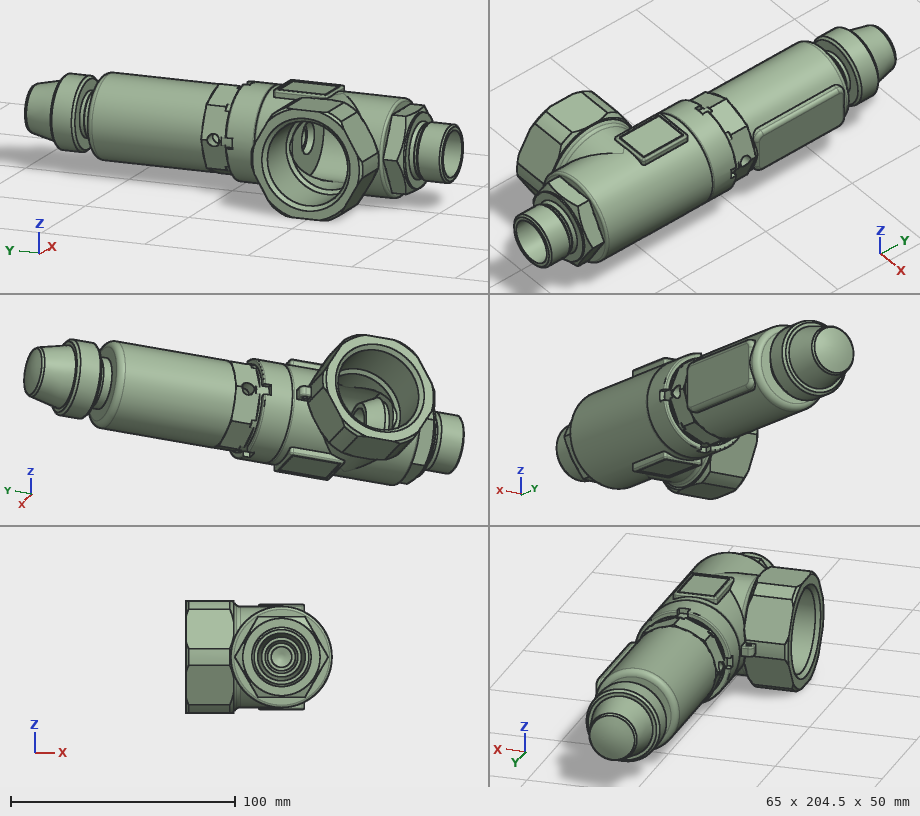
import cadquery as cq
import math


inlet_end_y = -52.9
overall_length = 204.5
cap_top_y = inlet_end_y + overall_length
housing_bottom_y = -28.1
collar_bottom_y = 33.6
collar_top_y = 47.4
bonnet_top_y = 116.2
cap_bottom_y = 122.9
disc_bottom_y = 17.0
disc_top_y = 28.0

body_radius = 22.5
chamber_radius = 18.0
joint_fillet = 0.6
foot_radius = 20.0
stem_radius = 8.0
shank_radius = 6.0
shank_top_y = 130.0


def revolve_about_y(outline):
    """Turn a closed (radius, y) outline one full revolution around the Y axis."""
    return cq.Workplane("XY").polyline(outline).close().revolve(360, (0, 0, 0), (0, 1, 0))


def cylinder_y(radius, y_from, y_to):
    """Solid cylinder on the Y axis."""
    return cq.Workplane("XZ", origin=(0, y_from, 0)).circle(radius).extrude(y_from - y_to)


def polygon_y(corner_radius, sides, y_from, y_to):
    """Regular prism on the Y axis, with its first corner on +X."""
    corners = []
    for i in range(sides):
        angle = 2 * math.pi * i / sides
        corners.append((corner_radius * math.cos(angle), corner_radius * math.sin(angle)))
    return cq.Workplane("XZ", origin=(0, y_from, 0)).polyline(corners).close().extrude(y_from - y_to)


def revolve_about_x(outline):
    """Turn a closed (x, radius) outline one full revolution around the X axis."""
    return cq.Workplane("XY").polyline(outline).close().revolve(360, (0, 0, 0), (1, 0, 0))


outlet_face_x = -42.5
outlet_across_flats = 50.0
outlet_corner_radius = 27.0
outlet_face_chamfer = 1.2
outlet_hex_bevel_x = -23.0
outlet_hex_back_x = -21.3
outlet_neck_x = -18.4
outlet_neck_round = 2.5
outlet_thread_radius = 19.4
outlet_mouth_radius = 21.3
outlet_throat_radius = 17.7
outlet_thread_end_x = -19.2

plaque_length = 26.4
plaque_width = 20.4
plaque_center_y = 16.5
plaque_face_z = 23.4
plaque_corner_radius = 1.2
plaque_edge_fillet = 0.9
plaque_rim = 1.8
plaque_recess = 0.4

eyelet_tip_x = -27.8
eyelet_top_y = 31.8
eyelet_thickness = 4.7
eyelet_hole_x = -25.0
eyelet_hole_y = 28.9
eyelet_hole_diameter = 2.2
eyelet_corner_radius = 2.2
eyelet_edge_fillet = 0.6


def outlet_branch():
    bevel_radius = outlet_corner_radius - (outlet_hex_back_x - outlet_hex_bevel_x)
    round_offset = outlet_neck_round * math.sqrt(0.5)
    round_start_x = outlet_neck_x - round_offset
    round_start_radius = body_radius + outlet_neck_round - round_offset
    shoulder_radius = round_start_radius + (round_start_x - outlet_hex_back_x)
    round_mid_x = outlet_neck_x - outlet_neck_round * math.sin(math.pi / 8)
    round_mid_radius = body_radius + outlet_neck_round * (1 - math.cos(math.pi / 8))
    turned = (
        cq.Workplane("XY")
        .moveTo(outlet_face_x, 0)
        .lineTo(outlet_face_x, outlet_corner_radius - outlet_face_chamfer)
        .lineTo(outlet_face_x + outlet_face_chamfer, outlet_corner_radius)
        .lineTo(outlet_hex_bevel_x, outlet_corner_radius)
        .lineTo(outlet_hex_back_x, bevel_radius)
        .lineTo(outlet_hex_back_x, shoulder_radius)
        .lineTo(round_start_x, round_start_radius)
        .threePointArc((round_mid_x, round_mid_radius), (outlet_neck_x, body_radius))
        .lineTo(0, body_radius)
        .lineTo(0, 0)
        .close()
        .revolve(360, (0, 0, 0), (1, 0, 0))
    )
    hexagon = (
        cq.Workplane("YZ", origin=(outlet_face_x, 0, 0))
        .polygon(6, outlet_across_flats / math.cos(math.pi / 6))
        .extrude(-outlet_face_x)
    )
    return turned.intersect(hexagon)


def name_plaque(side):
    """Raised plaque with a recessed field; side is +1 for the +Z face, -1 for -Z."""
    plaque = (
        cq.Workplane("XY", origin=(0, plaque_center_y, chamber_radius))
        .rect(plaque_width, plaque_length)
        .extrude(plaque_face_z - chamber_radius)
        .edges("|Z").fillet(plaque_corner_radius)
        .faces(">Z").edges().fillet(plaque_edge_fillet)
    )
    field = (
        cq.Workplane("XY", origin=(0, plaque_center_y, plaque_face_z - plaque_recess))
        .rect(plaque_width - 2 * plaque_rim, plaque_length - 2 * plaque_rim)
        .extrude(plaque_recess)
    )
    plaque = plaque.cut(field)
    return plaque if side > 0 else plaque.mirror("XY")


def seal_eyelet():
    lug_length_x = -chamber_radius - eyelet_tip_x
    lug_length_y = eyelet_top_y - chamber_radius
    lug = (
        cq.Workplane("XY", origin=(eyelet_tip_x, chamber_radius, -eyelet_thickness / 2))
        .rect(lug_length_x, lug_length_y, centered=False)
        .extrude(eyelet_thickness)
        .edges("|Z and <X and >Y").fillet(eyelet_corner_radius)
        .faces("<Z or >Z").edges().fillet(eyelet_edge_fillet)
    )
    hole = (
        cq.Workplane("XY", origin=(eyelet_hole_x, eyelet_hole_y, -eyelet_thickness))
        .circle(eyelet_hole_diameter / 2)
        .extrude(2 * eyelet_thickness)
    )
    return lug.cut(hole)


def outlet_bore():
    mouth_depth = outlet_mouth_radius - outlet_thread_radius
    throat_cone = outlet_thread_radius - outlet_throat_radius
    return revolve_about_x([
        (outlet_face_x, 0),
        (outlet_face_x, outlet_mouth_radius),
        (outlet_face_x + mouth_depth, outlet_thread_radius),
        (outlet_thread_end_x, outlet_thread_radius),
        (outlet_thread_end_x + throat_cone, outlet_throat_radius),
        (0, outlet_throat_radius),
        (0, 0),
    ])


def make_housing():
    bottom_fillet = 1.2
    barrel = cylinder_y(body_radius, housing_bottom_y, collar_bottom_y)
    barrel = barrel.faces("<Y").edges().fillet(bottom_fillet)
    barrel = barrel.faces(">Y").edges().fillet(joint_fillet)
    body = barrel.union(outlet_branch()).union(seal_eyelet())
    for side in (1, -1):
        body = body.union(name_plaque(side))
    chamber = cylinder_y(chamber_radius, housing_bottom_y, collar_bottom_y)
    return body.cut(chamber).cut(outlet_bore())


inlet_hex_flats = 36.0
inlet_hex_end_y = -37.4
inlet_hex_face_radius = 17.2
inlet_hex_step_y = -36.5
inlet_hex_bevel_y = -34.7
inlet_thread_radius = 13.2
inlet_neck_radius = 12.2
inlet_groove_radius = 11.7
inlet_bore_radius = 10.6
seat_bore_radius = 8.9
seat_y = -6.3
seat_radius = 11.3
plug_top_y = -16.4
nozzle_base_y = -13.8
nozzle_base_radius = 15.0
nozzle_groove_radius = 13.5


def make_inlet_fitting():
    hex_corner_radius = inlet_hex_flats / math.sqrt(3)
    hexagon = polygon_y(hex_corner_radius, 6, inlet_hex_end_y, housing_bottom_y)
    bevel = revolve_about_y([
        (0, inlet_hex_end_y),
        (inlet_hex_face_radius, inlet_hex_end_y),
        (inlet_hex_face_radius, inlet_hex_step_y),
        (hex_corner_radius, inlet_hex_bevel_y),
        (hex_corner_radius, housing_bottom_y),
        (0, housing_bottom_y),
    ])
    groove_bottom_y = -40.4
    groove_top_y = -39.3
    thread_start_y = -41.7
    thread_chamfer_length = 0.8
    thread_tip_radius = 12.2
    spigot = revolve_about_y([
        (0, inlet_end_y),
        (thread_tip_radius, inlet_end_y),
        (inlet_thread_radius, inlet_end_y + thread_chamfer_length),
        (inlet_thread_radius, thread_start_y),
        (inlet_groove_radius, groove_bottom_y),
        (inlet_groove_radius, groove_top_y),
        (inlet_neck_radius, groove_top_y),
        (inlet_thread_radius, inlet_hex_end_y),
        (0, inlet_hex_end_y),
    ])
    plug = revolve_about_y([
        (0, housing_bottom_y),
        (chamber_radius, housing_bottom_y),
        (chamber_radius, plug_top_y),
        (nozzle_groove_radius, plug_top_y),
        (nozzle_groove_radius, nozzle_base_y),
        (nozzle_base_radius, nozzle_base_y),
        (seat_radius, seat_y),
        (0, seat_y),
    ])
    bore = revolve_about_y([
        (0, inlet_end_y),
        (inlet_bore_radius, inlet_end_y),
        (seat_bore_radius, seat_y),
        (0, seat_y),
    ])
    return spigot.union(hexagon.intersect(bevel)).union(plug).cut(bore)


def make_disc():
    recess_mouth_radius = 7.3
    recess_floor_radius = 6.2
    recess_depth = 3.0
    recess_floor_y = disc_bottom_y + recess_depth
    drill_radius = 4.6
    drill_depth = 3.0
    drill_tip_length = 1.5
    drill_end_y = recess_floor_y + drill_depth
    drill_tip_y = drill_end_y + drill_tip_length
    return revolve_about_y([
        (0, drill_tip_y),
        (drill_radius, drill_end_y),
        (drill_radius, recess_floor_y),
        (recess_floor_radius, recess_floor_y),
        (recess_mouth_radius, disc_bottom_y),
        (chamber_radius, disc_bottom_y),
        (chamber_radius, disc_top_y),
        (0, disc_top_y),
    ])


collar_slot_width = 5.0
collar_slot_depth = 3.3


def make_collar():
    ring = cylinder_y(body_radius, collar_bottom_y, collar_top_y)
    ring = ring.faces("<Y or >Y").edges().fillet(joint_fillet)
    ring = ring.cut(cylinder_y(foot_radius, collar_bottom_y, collar_top_y))
    slot_y = collar_top_y - collar_slot_depth / 2
    for across_x, across_z in ((2 * body_radius, collar_slot_width), (collar_slot_width, 2 * body_radius)):
        slot = cq.Workplane("XY").box(across_x, collar_slot_depth, across_z)
        ring = ring.cut(slot.translate((0, slot_y, 0)))
    return ring


bonnet_radius = 19.7
bonnet_top_fillet = 3.0
bonnet_inner_radius = 14.0
bonnet_inner_top_y = 105.0
octagon_corner_radius = 20.65
octagon_top_y = 60.0
octagon_bottom_y = 48.5
foot_top_y = 50.4
cross_hole_diameter = 5.8
cross_hole_y = 54.2

side_plate_bottom_y = 60.5
side_plate_top_y = 112.8
side_plate_width = 23.0
side_plate_face_x = 19.9
side_plate_corner_radius = 4.2
side_plate_edge_fillet = 2.0


def bonnet_side_plate():
    length = side_plate_top_y - side_plate_bottom_y
    center_y = (side_plate_top_y + side_plate_bottom_y) / 2
    return (
        cq.Workplane("YZ", origin=(bonnet_inner_radius, center_y, 0))
        .rect(length, side_plate_width)
        .extrude(side_plate_face_x - bonnet_inner_radius)
        .edges("|X").fillet(side_plate_corner_radius)
        .faces(">X").edges().fillet(side_plate_edge_fillet)
    )


def make_bonnet():
    sleeve = cylinder_y(bonnet_radius, octagon_top_y, bonnet_top_y)
    sleeve = sleeve.faces(">Y").edges().fillet(bonnet_top_fillet)
    octagon = polygon_y(octagon_corner_radius, 8, foot_top_y, octagon_top_y)
    turned_octagon = polygon_y(octagon_corner_radius, 8, octagon_bottom_y, foot_top_y).intersect(
        cylinder_y(foot_radius, octagon_bottom_y, foot_top_y)
    )
    foot = cylinder_y(foot_radius, collar_bottom_y, octagon_bottom_y)
    skirt = cylinder_y(chamber_radius, disc_top_y, collar_bottom_y)
    bonnet = sleeve.union(octagon).union(turned_octagon).union(foot).union(skirt)
    bonnet = bonnet.union(bonnet_side_plate())
    bonnet = bonnet.cut(cylinder_y(bonnet_inner_radius, disc_top_y, bonnet_inner_top_y))
    bonnet = bonnet.cut(cylinder_y(stem_radius, bonnet_inner_top_y, bonnet_top_y))
    cross_hole = (
        cq.Workplane("YZ", origin=(-body_radius, 0, 0))
        .center(cross_hole_y, 0)
        .circle(cross_hole_diameter / 2)
        .extrude(2 * body_radius)
    )
    return bonnet.cut(cross_hole)


def make_spindle():
    shoulder_radius = 11.6
    neck_radius = 10.7
    shoulder_chamfer_y = 120.2
    neck_bottom_y = 120.9
    return revolve_about_y([
        (0, bonnet_inner_top_y),
        (stem_radius, bonnet_inner_top_y),
        (stem_radius, bonnet_top_y),
        (shoulder_radius, bonnet_top_y),
        (shoulder_radius, shoulder_chamfer_y),
        (neck_radius, neck_bottom_y),
        (neck_radius, cap_bottom_y),
        (shank_radius, cap_bottom_y),
        (shank_radius, shank_top_y),
        (0, shank_top_y),
    ])


def make_cap():
    flange_radius = 17.2
    flange_top_y = 134.8
    flange_chamfer = 1.2
    cone_base_radius = 14.3
    cone_top_radius = 11.2
    cone_top_y = 148.4
    dome_radius = 10.5
    dome_base_y = 149.5
    dome_height = cap_top_y - dome_base_y
    sphere_radius = (dome_radius ** 2 + dome_height ** 2) / (2 * dome_height)
    dome_mid_radius = dome_radius / 2
    dome_mid_y = cap_top_y - sphere_radius + math.sqrt(sphere_radius ** 2 - dome_mid_radius ** 2)
    outline = (
        cq.Workplane("XY")
        .moveTo(0, shank_top_y)
        .lineTo(shank_radius, shank_top_y)
        .lineTo(shank_radius, cap_bottom_y)
        .lineTo(flange_radius - flange_chamfer, cap_bottom_y)
        .lineTo(flange_radius, cap_bottom_y + flange_chamfer)
        .lineTo(flange_radius, flange_top_y - flange_chamfer)
        .lineTo(flange_radius - flange_chamfer, flange_top_y)
        .lineTo(cone_base_radius, flange_top_y)
        .lineTo(cone_top_radius, cone_top_y)
        .lineTo(dome_radius, dome_base_y)
        .threePointArc((dome_mid_radius, dome_mid_y), (0, cap_top_y))
        .close()
    )
    return outline.revolve(360, (0, 0, 0), (0, 1, 0))


housing = make_housing()
inlet_fitting = make_inlet_fitting()
disc = make_disc()
collar = make_collar()
bonnet = make_bonnet()
spindle = make_spindle()
cap = make_cap()

result = cq.Compound.makeCompound([
    housing.val(),
    inlet_fitting.val(),
    disc.val(),
    collar.val(),
    bonnet.val(),
    spindle.val(),
    cap.val(),
])